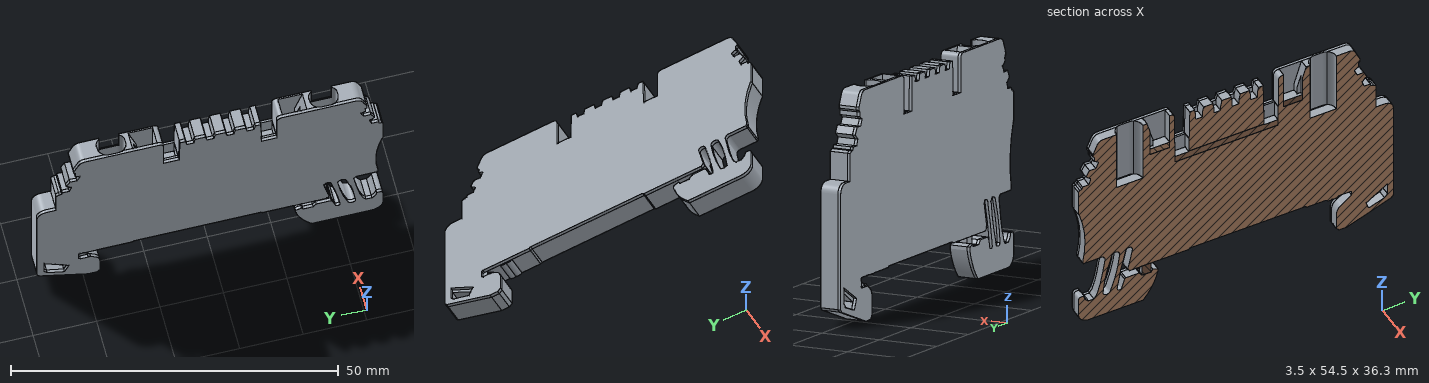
import cadquery as cq
LENGTH = 54.5
HEIGHT = 36.25
THICKNESS = 3.5
COVER_THICKNESS = 0.5
Y_END = LENGTH / 2
X_COVER = -THICKNESS / 2
X_SPLIT = X_COVER + COVER_THICKNESS
X_BACK = THICKNESS / 2

Y_MID = -1.65
SIDES = (1, -1)

COMB_TOP = 35.5
COMB_PITCH = 3.15
COMB_GAPS = 4
COMB_FLOOR = 34.5
GAP_TOP_WIDTH = 1.5
GAP_FLOOR_WIDTH = 1.1
GROOVE_FLOOR = 33.55
COMB_HALF = 6.4

SLOT_FLOOR = 30.15
SLOT_INNER = 6.5
SLOT_OUTER = 8.95
BRIDGE_POCKET = (6.55, 8.9)
BRIDGE_X = (-0.9, 1.35)
BRIDGE_POCKET_DEPTH = 2.7
BUSBAR_TOP = SLOT_FLOOR - BRIDGE_POCKET_DEPTH
BUSBAR_HEIGHT = 1.1

SPRING_OPENING = (9.85, 13.75)
SPRING_X = (X_SPLIT, 1.45)
RAMP_FOOT = 12.5
RAMP_DEPTH = 4.1
SPRING_OPENING_DEPTH = 5.45
SPRING_HEIGHT = 1.1
TONGUE_X = (-0.25, 0.5)
TONGUE_TIP = 13.15

FUNNEL_CENTRE = 16.7
FUNNEL_HALF = 2.25
FUNNEL_REACH = 0.15
FUNNEL_WALL = 0.2
FUNNEL_WINDOW_HALF = 1.6
FUNNEL_WINDOW_DEPTH = 3.25
FUNNEL_DEPTH = 10.9
FUNNEL_FRONT_CORNER = 1.45
FUNNEL_BACK_CORNER = 1.0

BELLY = 7.1
BELLY_RAISED = 7.3
LEG_TOP = 11.95
LEG_BOTTOM = 4.0
TOP_CORNER = 0.75
SHOULDER_CORNER = 22.05
SHOULDER_RADIUS = 1.2

PIN_Y = (-16.25, -14.65)
PIN_X = (-0.55, 0.8)
PIN_FOOT = 5.35

BUMP_RADIUS = 0.8
BUMP_DROP = 0.3
BUMP_Y = (17.05, 16.25)

LATCH_WINDOW = [(26.15, 6.5), (22.25, 4.15), (22.95, 2.45), (25.65, 3.4), (26.15, 4.05)]
LATCH_POCKET = [(26.15, 5.95), (22.55, 3.6), (22.95, 2.45), (25.65, 3.4), (26.15, 4.05)]
LATCH_POCKET_DEPTH = 1.65
HOOK_RELIEF = [(20.45, 5.45), (20.7, 5.7), (20.7, 6.9), (20.5, BELLY), (19.6, BELLY), (19.6, 6.2), (18.8, 5.45)]


def shoulder(side):
    """Stepped outer edge of one upper block, from its top corner down to the side face."""
    steps = [
        (SHOULDER_CORNER, HEIGHT), (23.1, 33.85), (23.1, 33.35), (22.8, 33.0), (22.9, 32.3), (22.1, 31.8),
        (22.6, 30.8), (23.7, 30.85), (24.3, 29.7), (23.5, 28.95), (23.8, 27.95), (24.9, 27.95),
        (25.0, 27.5), (25.4, 27.45),
    ]
    return [(Y_MID + side * distance, z) for distance, z in steps]


def slot_edge(side):
    """One bridge slot, from the block's top corner to the top of the comb."""
    steps = [(SLOT_OUTER, HEIGHT), (SLOT_OUTER, SLOT_FLOOR), (SLOT_INNER, SLOT_FLOOR), (COMB_HALF, COMB_TOP)]
    return [(Y_MID + side * distance, z) for distance, z in steps]


def gap_positions():
    """Y of each gap of the comb, from +Y to -Y."""
    return [Y_MID + ((COMB_GAPS - 1) / 2 - i) * COMB_PITCH for i in range(COMB_GAPS)]


def comb():
    """Top of the comb, from +Y to -Y."""
    points = []
    for y in gap_positions():
        points += [
            (y + GAP_TOP_WIDTH / 2, COMB_TOP), (y + GAP_FLOOR_WIDTH / 2, COMB_FLOOR),
            (y - GAP_FLOOR_WIDTH / 2, COMB_FLOOR), (y - GAP_TOP_WIDTH / 2, COMB_TOP),
        ]
    return points


def outline(x_start, x_end):
    """Side outline shared by housing and cover, extruded along X."""
    top = shoulder(1)[::-1] + slot_edge(1) + comb() + slot_edge(-1)[::-1] + shoulder(-1)
    profile = (
        cq.Workplane("YZ", origin=(x_start, 0, 0))
        .moveTo(24.25, 27.15)
    )
    for point in top:
        profile = profile.lineTo(*point)
    profile = (
        profile
        .lineTo(-Y_END, 27.15).lineTo(-Y_END, 22.55).lineTo(-27.1, 22.25)
        .threePointArc((-26.15, 17.1), (-26.5, 12.65))
        .lineTo(-26.5, 12.15).lineTo(-26.3, LEG_TOP)
        .lineTo(-23.2, LEG_TOP)
        .threePointArc((-22.8, 11.7), (-22.65, 11.2))
        .spline([(-23.05, 8.9), (-23.55, 6.45), (-24.1, 4.7)], includeCurrent=True)
        .lineTo(-24.55, LEG_BOTTOM)
        .lineTo(-25.5, LEG_BOTTOM)
        .threePointArc((-25.95, 4.4), (-26.25, 5.35))
        .lineTo(-26.7, 5.35)
        .tangentArcPoint((-Y_END, 4.8), relative=False)
        .lineTo(-Y_END, 1.85)
        .tangentArcPoint((-25.4, 0), relative=False)
        .lineTo(-16.0, 0)
        .threePointArc((-14.35, 2.45), (-13.45, 4.85))
        .lineTo(-13.45, 5.45).lineTo(-14.4, 5.8).lineTo(PIN_Y[1], PIN_FOOT).lineTo(PIN_Y[0], PIN_FOOT)
        .lineTo(-16.7, 6.0).lineTo(-19.05, 6.0).lineTo(-19.4, 5.65).lineTo(-19.8, 5.55)
        .lineTo(-19.8, 7.6).lineTo(-18.75, 7.55).lineTo(-18.35, BELLY)
        .lineTo(-8.2, BELLY).lineTo(-7.95, BELLY_RAISED)
        .lineTo(12.0, BELLY_RAISED).lineTo(12.25, BELLY)
        .lineTo(19.95, BELLY).lineTo(19.95, 6.45)
        .lineTo(18.3, 5.1)
        .threePointArc((17.6, 4.45), (17.3, 3.65))
        .lineTo(17.3, 0.55).lineTo(17.8, 0).lineTo(19.2, 0)
        .lineTo(26.9, 2.85).lineTo(Y_END, 3.25)
        .lineTo(Y_END, 21.25)
        .tangentArcPoint((25.7, 22.75), relative=False)
        .lineTo(24.25, 22.75)
        .close()
    )
    solid = profile.extrude(x_end - x_start)
    for side in SIDES:
        solid = solid.edges(near_edge(side, SLOT_OUTER)).fillet(TOP_CORNER)
        solid = solid.edges(near_edge(side, SHOULDER_CORNER)).fillet(SHOULDER_RADIUS)
    return solid.cut(leg_slots(x_start, x_end))


def near_edge(side, distance):
    """Selector for the X-parallel edge at the top face at a distance from Y_MID."""
    y = Y_MID + side * distance
    tolerance = 0.05
    return cq.selectors.BoxSelector(
        (-THICKNESS, y - tolerance, HEIGHT - tolerance), (THICKNESS, y + tolerance, HEIGHT + tolerance)
    )


def leg_slots(x_start, x_end):
    """The two curved slots that leave the two spring legs standing."""
    z_ends = (11.35, 8.05, 4.35)
    slot_sides = [((-17.9, -18.65, -19.7), (-19.05, -19.85, -20.5)), ((-20.1, -20.65, -21.75), (-21.45, -22.4, -22.95))]
    slots = cq.Workplane("YZ")
    for near, far in slot_sides:
        near_side = list(zip(near, z_ends))
        far_side = list(zip(far, z_ends))[::-1]
        slots = slots.add(
            cq.Workplane("YZ", origin=(x_start, 0, 0))
            .moveTo(*near_side[0]).spline(near_side[1:], includeCurrent=True)
            .threePointArc(((near[2] + far[2]) / 2, LEG_BOTTOM), far_side[0])
            .spline(far_side[1:], includeCurrent=True)
            .threePointArc(((near[0] + far[0]) / 2, LEG_TOP), near_side[0])
            .close().extrude(x_end - x_start)
        )
    return slots.combine()


def box(x_range, y_range, z_range):
    """Axis-aligned box from three ranges."""
    size = [max(r) - min(r) for r in (x_range, y_range, z_range)]
    corner = [min(r) for r in (x_range, y_range, z_range)]
    return cq.Workplane("XY").box(*size, centered=False).translate(tuple(corner))


def beside(side, distances):
    """Y range for a range of distances from Y_MID on one side."""
    return [Y_MID + side * d for d in distances]


def funnel(side):
    """Rounded wire entry with a thin back wall, which has an open window at the top."""
    y_range = beside(side, (FUNNEL_CENTRE - FUNNEL_HALF, FUNNEL_CENTRE + FUNNEL_HALF))
    x_range = (X_SPLIT - FUNNEL_REACH, X_BACK - FUNNEL_WALL)
    bore = box(x_range, y_range, (HEIGHT - FUNNEL_DEPTH, HEIGHT))
    bore = bore.edges("<X and |Z").fillet(FUNNEL_FRONT_CORNER)
    bore = bore.edges(">X and |Z").fillet(FUNNEL_BACK_CORNER)
    window_y = beside(side, (FUNNEL_CENTRE - FUNNEL_WINDOW_HALF, FUNNEL_CENTRE + FUNNEL_WINDOW_HALF))
    window = box((0, X_BACK), window_y, (HEIGHT - FUNNEL_WINDOW_DEPTH, HEIGHT))
    return bore.union(window)


def make_spring(side):
    """T-shaped spring head that fills the bottom of a spring opening."""
    top = HEIGHT - SPRING_OPENING_DEPTH
    z_range = (top - SPRING_HEIGHT, top)
    head = box(SPRING_X, beside(side, (SPRING_OPENING[0], RAMP_FOOT)), z_range)
    tongue = box(TONGUE_X, beside(side, (RAMP_FOOT, TONGUE_TIP)), z_range)
    return head.union(tongue)


def spring_opening(side):
    """Funnel-shaped opening above a spring, with a groove for the spring's tongue in its ramp."""
    floor = HEIGHT - SPRING_OPENING_DEPTH
    inner, outer = SPRING_OPENING
    steps = [
        (inner, floor), (RAMP_FOOT, floor), (RAMP_FOOT, HEIGHT - RAMP_DEPTH), (outer, HEIGHT), (inner, HEIGHT),
    ]
    shaft = (
        cq.Workplane("YZ", origin=(SPRING_X[0], 0, 0))
        .polyline([(Y_MID + side * d, z) for d, z in steps]).close()
        .extrude(SPRING_X[1] - SPRING_X[0])
    )
    groove = box(TONGUE_X, beside(side, (RAMP_FOOT, TONGUE_TIP)), (floor, HEIGHT))
    return shaft.union(groove)


def make_busbar():
    """Straight bar whose ends form the floors of the two bridge pockets."""
    end = BRIDGE_POCKET[1]
    return box(BRIDGE_X, (Y_MID - end, Y_MID + end), (BUSBAR_TOP - BUSBAR_HEIGHT, BUSBAR_TOP))


def bridge_pocket(side):
    """Square pocket from the slot floor down to the busbar."""
    return box(BRIDGE_X, beside(side, BRIDGE_POCKET), (BUSBAR_TOP, SLOT_FLOOR))


def make_contact_pin():
    """Small pin between the block and the sprung foot."""
    return box(PIN_X, PIN_Y, (PIN_FOOT, BELLY))


def side_prism(points, x_range):
    """Prism in the fixed hook from (Y, Z) points."""
    return (
        cq.Workplane("YZ", origin=(x_range[0], 0, 0))
        .polyline(points).close().extrude(x_range[1] - x_range[0])
    )


def make_housing():
    body = outline(X_SPLIT, X_BACK)
    for side in SIDES:
        body = body.cut(funnel(side)).cut(spring_opening(side)).cut(make_spring(side)).cut(bridge_pocket(side))
    for y in gap_positions():
        gap_y = (y - GAP_FLOOR_WIDTH / 2, y + GAP_FLOOR_WIDTH / 2)
        body = body.cut(box((X_SPLIT, X_BACK), gap_y, (GROOVE_FLOOR, COMB_FLOOR)))
    for y in BUMP_Y:
        bump = (
            cq.Workplane("YZ", origin=(X_SPLIT, y, BELLY - BUMP_DROP + BUMP_RADIUS))
            .circle(BUMP_RADIUS).extrude(X_BACK - X_SPLIT)
        )
        body = body.union(bump)
    body = body.cut(side_prism(LATCH_POCKET, (X_SPLIT, X_SPLIT + LATCH_POCKET_DEPTH)))
    return body.cut(make_busbar())


def make_cover():
    plate = outline(X_COVER, X_SPLIT)
    for side in SIDES:
        plate = plate.cut(funnel(side))
    plate = plate.cut(side_prism(LATCH_WINDOW, (X_COVER, X_SPLIT)))
    return plate.cut(side_prism(HOOK_RELIEF, (X_COVER, X_SPLIT)))


housing = make_housing()
cover = make_cover()
springs = [make_spring(side) for side in SIDES]
busbar = make_busbar()
contact_pin = make_contact_pin()

result = cq.Compound.makeCompound(
    [housing.val(), cover.val(), *[s.val() for s in springs], busbar.val(), contact_pin.val()]
)